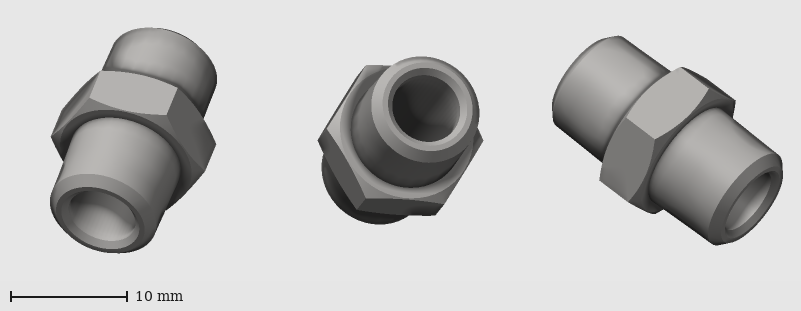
import cadquery as cq
import math

total_length = 19.5
hex_width = 12.0
hex_length = 4.5
hex_chamfer_radius = 5.9
hex_chamfer_angle = 30.0

spigot_root_radius = 4.955
taper_angle = 1.5
tip_chamfer = 0.8

bore_radius = 3.0
bore_chamfer = 0.5

half_length = total_length / 2
half_hex_length = hex_length / 2
hex_corner_radius = hex_width / math.sqrt(3)
taper_end = half_length - tip_chamfer
taper_length = taper_end - half_hex_length
taper_end_radius = spigot_root_radius - taper_length * math.tan(math.radians(taper_angle))
tip_face_radius = taper_end_radius - tip_chamfer
bore_mouth_radius = bore_radius + bore_chamfer


def revolve_about_y(half_profile):
    """Revolve a profile of (radius, y) points with y >= 0, mirrored to y < 0 and closed on the axis."""
    mirrored = [(radius, -y) for radius, y in reversed(half_profile)]
    outline = [(0, half_length)] + half_profile + mirrored + [(0, -half_length)]
    return cq.Workplane("ZY").polyline(outline).close().revolve(360, (0, 0, 0), (0, 1, 0))


def make_spigots():
    """Both tapered spigots with chamfered tips, joined through the hexagon."""
    return revolve_about_y([
        (tip_face_radius, half_length),
        (taper_end_radius, taper_end),
        (spigot_root_radius, half_hex_length),
    ])


def make_hexagon():
    """Hexagon with its corners cut back by a cone on each face."""
    prism = (
        cq.Workplane("XZ")
        .polygon(6, 2 * hex_corner_radius)
        .extrude(half_hex_length, both=True)
    )
    chamfer_depth = (hex_corner_radius - hex_chamfer_radius) * math.tan(math.radians(hex_chamfer_angle))
    envelope = revolve_about_y([
        (hex_chamfer_radius, half_hex_length),
        (hex_corner_radius, half_hex_length - chamfer_depth),
    ])
    return prism.intersect(envelope)


def make_bore():
    """Through bore with a chamfer at each mouth."""
    return revolve_about_y([
        (bore_mouth_radius, half_length),
        (bore_radius, half_length - bore_chamfer),
    ])


result = make_spigots().union(make_hexagon()).cut(make_bore())